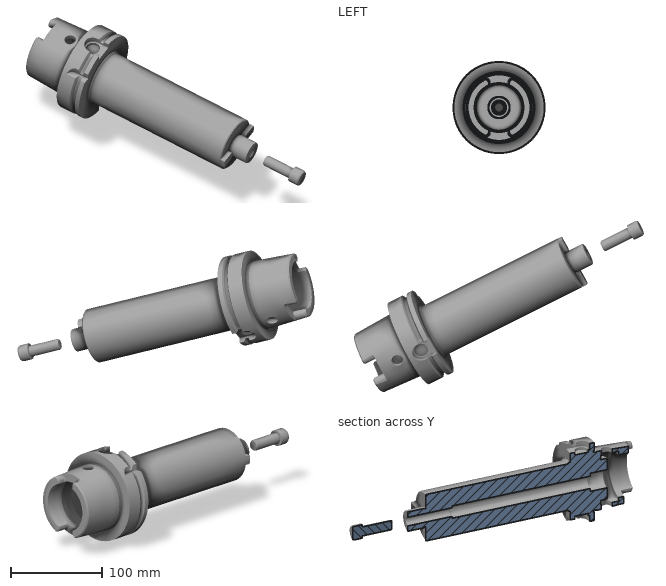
import cadquery as cq
import math


taper_length = 50.0
taper_face_radius = 38.0
taper_slope = 0.05
taper_tip_radius = taper_face_radius - taper_slope * taper_length
tip_chamfer = 1.5
relief_width = 3.5
relief_depth = 0.7
relief_flank = 1.18
relief_floor = 1.18
face_recess_radius = 39.0
face_recess_depth = 0.7

flange_radius = 100.0 / 2
flange_width = 29.0
groove_center = 20.2
groove_floor_radius = 46.2
groove_floor_width = 3.5
groove_mouth_width = 7.0

collar_radius = 63.0 / 2
collar_width = 1.0
shank_radius = 60.0 / 2
shank_end = 200.2
shank_chamfer = 1.0
boss_radius = 25.3 / 2
boss_end = 221.7
boss_lead_length = 1.5
boss_lead_depth = 0.5
neck_radius = 24.0 / 2
neck_width = 2.0
lug_width = 10.0
lug_height = 5.0
lug_inner_center = 17.2

bore_radius = 54 / 2
bore_step = 21.2
undercut_radius = 63.0 / 2
bore_depth = 42.0
pilot_radius = 53.0 / 2
pilot_depth = 34.5
pilot_chamfer_length = 2.7
pilot_face_radius = 50.5 / 2
coolant_mouth_radius = 24.0 / 2
coolant_radius = 22.5 / 2
coolant_depth = 20.2
channel_mouth_radius = 16.0 / 2
channel_radius = 15.0 / 2
channel_end = 168.5
core_mouth_radius = 12.5 / 2
core_radius = 10.5 / 2

slot_width = 20.0
upper_slot_depth = 9.5
lower_slot_depth = 14.5
slot_land = 32.0
slot_edge_radius = 5.0
slot_floor_fillet = 1.5
slot_mouth_chamfer = 1.5

cross_hole_radius = 12.5 / 2
cross_hole_x = -14.5

keyway_width = 19.2
keyway_center_x = 15.0
keyway_floor = 42.8
pocket_radius = 15.0 / 2
pocket_depth = 3.5

notch_side = 31.5
notch_floor = 32.0
notch_end_radius = 18.0 / 2
notch_end_x = 14.0

overall_length = 337
screw_end = overall_length - taper_length
head_height = 12.0
head_radius = 18.0 / 2
head_chamfer_length = 1.7
head_chamfer_depth = 1.0
stem_radius = 12.0 / 2
stem_length = 35.0
stem_tip_radius = 10.5 / 2
stem_tip_length = 1.7


def turned(points):
    """Solid of revolution about X from (x, radius) points; both ends close on the axis."""
    outline = [(points[0][0], 0), *points, (points[-1][0], 0)]
    return cq.Workplane("XY").polyline(outline).close().revolve(360, (0, 0, 0), (1, 0, 0))


def cylinder_x(radius, start, end):
    return turned([(start, radius), (end, radius)])


def cylinder_z(radius, x, y, bottom, top):
    return cq.Workplane("XY", origin=(x, y, bottom)).circle(radius).extrude(top - bottom)


def outer_form():
    tip_x = -taper_length
    relief_start_radius = taper_face_radius - taper_slope * relief_width
    relief_radius = relief_start_radius - relief_depth
    return turned([
        (tip_x, taper_tip_radius - tip_chamfer),
        (tip_x + tip_chamfer, taper_tip_radius + taper_slope * tip_chamfer),
        (-relief_width, relief_start_radius),
        (relief_flank - relief_width, relief_radius),
        (relief_flank + relief_floor - relief_width, relief_radius),
        (face_recess_depth, relief_start_radius),
        (face_recess_depth, face_recess_radius),
        (0, face_recess_radius),
        (0, flange_radius),
        (groove_center - groove_mouth_width / 2, flange_radius),
        (groove_center - groove_floor_width / 2, groove_floor_radius),
        (groove_center + groove_floor_width / 2, groove_floor_radius),
        (groove_center + groove_mouth_width / 2, flange_radius),
        (flange_width, flange_radius),
        (flange_width, collar_radius),
        (flange_width + collar_width, collar_radius),
        (flange_width + collar_width + collar_radius - shank_radius, shank_radius),
        (shank_end - shank_chamfer, shank_radius),
        (shank_end, shank_radius - shank_chamfer),
        (shank_end, neck_radius),
        (shank_end + neck_width, neck_radius),
        (shank_end + neck_width, boss_radius),
        (boss_end - boss_lead_length, boss_radius),
        (boss_end, boss_radius - boss_lead_depth),
    ])


def driving_lug(side):
    """Lug on the shank's end face, on the +Y (side = 1) or -Y (side = -1) half."""
    outer_length = shank_radius - lug_inner_center
    top = shank_end + lug_height
    plane = cq.Workplane("YZ", origin=(shank_end, 0, 0))
    bar = plane.center(side * (lug_inner_center + outer_length / 2), 0).rect(outer_length, lug_width)
    inner_end = cylinder_x(lug_width / 2, shank_end, top).translate((0, side * lug_inner_center, 0))
    lug = bar.extrude(lug_height).union(inner_end)
    lug = lug.intersect(cylinder_x(shank_radius, shank_end, top))
    return lug.cut(cylinder_x(boss_radius, shank_end, top))


def taper_bore():
    mouth = -taper_length
    pilot_x = mouth + pilot_depth
    pilot = turned([
        (pilot_x, pilot_face_radius),
        (pilot_x + pilot_chamfer_length, pilot_radius),
        (mouth + bore_depth, pilot_radius),
    ])
    bore = cylinder_x(bore_radius, mouth, mouth + bore_depth)
    bore = bore.union(cylinder_x(undercut_radius, mouth + bore_step, mouth + bore_depth))
    return bore.cut(pilot)


def axial_holes():
    face = pilot_depth - taper_length
    channel_start = face + coolant_depth
    return turned([
        (face, coolant_mouth_radius),
        (face + coolant_mouth_radius - coolant_radius, coolant_radius),
        (channel_start, coolant_radius),
        (channel_start, channel_mouth_radius),
        (channel_start + channel_mouth_radius - channel_radius, channel_radius),
        (channel_end, channel_radius),
        (channel_end, core_mouth_radius),
        (channel_end + core_mouth_radius - core_radius, core_radius),
        (boss_end, core_radius),
    ])


def drive_slot(depth):
    """Cutter for the slot on the +Z side of the taper's end."""
    half = slot_width / 2
    far = taper_face_radius
    bend = slot_edge_radius * math.sqrt(0.5)
    arc_y = half + slot_edge_radius
    arc_z = slot_land - slot_edge_radius

    def profile(x):
        return (
            cq.Workplane("YZ", origin=(x, 0, 0))
            .moveTo(-half, 0)
            .lineTo(-half, arc_z)
            .threePointArc((-arc_y + bend, arc_z + bend), (-arc_y, slot_land))
            .lineTo(-far, slot_land)
            .lineTo(-far, far)
            .lineTo(far, far)
            .lineTo(far, slot_land)
            .lineTo(arc_y, slot_land)
            .threePointArc((arc_y - bend, arc_z + bend), (half, arc_z))
            .lineTo(half, 0)
            .close()
        )

    slot = profile(-taper_length).extrude(depth).faces(">X").edges().fillet(slot_floor_fillet)
    mouth = profile(slot_mouth_chamfer - taper_length).extrude(-slot_mouth_chamfer, taper=-45)
    return slot.union(mouth)


def keyway():
    """Cutter for the round-ended keyway on the +Z side of the flange, with its round pocket."""
    slot_length = flange_width - keyway_center_x
    height = flange_radius - keyway_floor
    base = cq.Workplane("XY", origin=(keyway_center_x, 0, keyway_floor))
    slot = base.circle(keyway_width / 2).extrude(height)
    slot = slot.union(base.center(slot_length / 2, 0).rect(slot_length, keyway_width).extrude(height))
    pocket = cylinder_z(pocket_radius, keyway_center_x, 0, keyway_floor - pocket_depth, keyway_floor)
    return slot.union(pocket)


def orientation_notch():
    """Cutter for the corner notch between the -Y and +Z sides of the flange."""
    length = flange_width - notch_end_x
    height = flange_radius - notch_floor
    corner = cq.Workplane("XY").box(length, flange_radius, height, centered=False)
    corner = corner.translate((notch_end_x, -notch_side - flange_radius, notch_floor))
    end_y = -notch_side - notch_end_radius
    rounded = cylinder_z(notch_end_radius, notch_end_x, end_y, notch_floor, flange_radius)
    return corner.union(rounded)


def upside_down(cutter):
    """The cutter turned half a turn about the common axis, onto the -Z side."""
    return cutter.rotate((0, 0, 0), (1, 0, 0), 180)


def make_arbor():
    arbor = outer_form()
    for side in (1, -1):
        arbor = arbor.union(driving_lug(side))
    arbor = arbor.cut(taper_bore()).cut(axial_holes())
    arbor = arbor.cut(drive_slot(upper_slot_depth)).cut(upside_down(drive_slot(lower_slot_depth)))
    cross_hole = cylinder_z(cross_hole_radius, cross_hole_x, 0, pilot_radius, flange_radius)
    for cutter in (cross_hole, keyway()):
        arbor = arbor.cut(cutter).cut(upside_down(cutter))
    return arbor.cut(orientation_notch())


def make_screw():
    head_x = screw_end - head_height
    tip_x = head_x - stem_length
    return turned([
        (tip_x, stem_tip_radius),
        (tip_x + stem_tip_length, stem_radius),
        (head_x, stem_radius),
        (head_x, head_radius),
        (screw_end - head_chamfer_length, head_radius),
        (screw_end, head_radius - head_chamfer_depth),
    ])


arbor = make_arbor()
screw = make_screw()

result = cq.Compound.makeCompound([arbor.val(), screw.val()])